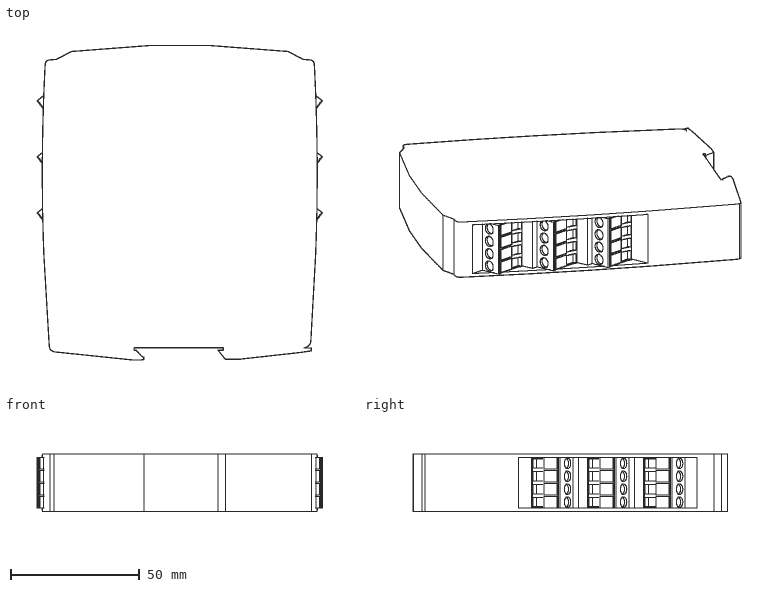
import cadquery as cq
import math

housing_height = 22.5
top_y = 61.0
bottom_y = -61.0
roof_edge = (11.6, top_y)
shoulder_high = (42.0, 58.7)
shoulder_low = (47.8, 55.6)
corner_start = (50.7, 55.4)
corner_middle = (51.7, 54.8)
corner_end = (52.2, 53.4)
bow_top = (52.3, 51.2)
bow_middle = (53.3, 15.2)
bow_bottom = (52.7, -20.5)

slot_y = -56.2
slot_left = -17.7
slot_right = 16.8
ledge_y = -57.1
foot_right = 51.0
foot_bottom_y = -60.7

module_count = 3
module_pitch = 21.7
tilt = 38.0
tip_x = 55.32
first_tip_y = 39.5
face_length = 14.4
block_depth = 8.2
window_height = 19.8
lead_in = 6.1
cut_reach = 18.3

pole_count = 4
pole_pitch = 5.0
screw_diameter = 4.0
screw_depth = 1.1
screw_setback = 4.6
front_rim = 1.0
step_depth = 0.2
button_start = 1.6
button_end = 8.0
button_height = 4.4
wedge_width = 19.2
wedge_end = 12.9
wedge_rise = 1.2
pocket_start = 8.8
pocket_floor_end = 12.0
pocket_rim_end = 12.7
pocket_height = 3.5

tooth_length = module_pitch * math.cos(math.radians(tilt))
pole_heights = [(i - (pole_count - 1) / 2) * pole_pitch for i in range(pole_count)]


def slab(points, height, z=0.0):
    """Closed XY outline extruded to the given height, centred on z."""
    return cq.Workplane("XY").polyline(points).close().extrude(height / 2, both=True).translate((0, 0, z))


def block(x0, x1, y0, y1, height, z=0.0):
    """Rectangular slab between the given limits."""
    return slab([(x0, y0), (x1, y0), (x1, y1), (x0, y1)], height, z)


def left(point):
    """The same outline point on the left side."""
    return (-point[0], point[1])


def housing():
    """Outer housing with the hooks and the slot for the mounting rail."""
    outline = cq.Workplane("XY").moveTo(*left(roof_edge))

    outline = outline.lineTo(*roof_edge).lineTo(*shoulder_high).lineTo(*shoulder_low)
    outline = outline.lineTo(*corner_start).threePointArc(corner_middle, corner_end)
    outline = outline.lineTo(*bow_top).threePointArc(bow_middle, bow_bottom)

    outline = outline.lineTo(50.9, -53.3).threePointArc((50.3, -55.1), (48.0, slot_y))
    outline = outline.lineTo(foot_right, slot_y).lineTo(foot_right, -57.5)
    outline = outline.lineTo(46.8, -58.1).lineTo(22.7, foot_bottom_y)

    outline = outline.lineTo(17.7, foot_bottom_y).lineTo(14.8, ledge_y)
    outline = outline.lineTo(slot_right, ledge_y).lineTo(slot_right, slot_y)
    outline = outline.lineTo(slot_left, slot_y).lineTo(slot_left, ledge_y)
    outline = outline.lineTo(-17.0, ledge_y).lineTo(-14.5, -59.6).lineTo(-13.9, -59.8)
    outline = outline.lineTo(-13.9, -60.7).lineTo(-14.9, bottom_y).lineTo(-18.2, bottom_y)

    outline = outline.lineTo(-48.8, -57.8).lineTo(-50.3, -57.0).lineTo(-50.6, -55.6)
    outline = outline.lineTo(*left(bow_bottom)).threePointArc(left(bow_middle), left(bow_top))
    outline = outline.lineTo(*left(corner_end)).threePointArc(left(corner_middle), left(corner_start))
    outline = outline.lineTo(*left(shoulder_low)).lineTo(*left(shoulder_high)).close()
    return outline.extrude(housing_height / 2, both=True)


def terminal_block():
    """One terminal block with its tip at the origin."""
    body = block(0, face_length, 0, block_depth, window_height)
    body = body.cut(block(front_rim, face_length, 0, step_depth, window_height))

    wedge_top = step_depth - wedge_rise
    wedge = [(pocket_start, step_depth), (wedge_end, wedge_top), (wedge_end, step_depth)]
    body = body.union(slab(wedge, wedge_width))

    pocket = [
        (pocket_start, step_depth),
        (pocket_floor_end, step_depth),
        (pocket_rim_end, wedge_top),
        (pocket_start, wedge_top),
    ]
    for z in pole_heights:
        body = body.union(block(button_start, button_end, 0, step_depth, button_height, z))
        body = body.cut(slab(pocket, pocket_height, z))
        screw = cq.Workplane("YZ").center(screw_setback, z).circle(screw_diameter / 2).extrude(screw_depth)
        body = body.cut(screw)
    return body


def recess(index):
    """Cutter for one tooth of the saw-toothed recess around the blocks."""
    start = -lead_in if index == 0 else face_length - tooth_length
    return block(start, face_length, -cut_reach, block_depth, window_height)


def place(shape, index):
    """Turn a shape from the block frame and move it to its place on the left side wall."""
    turned = shape.rotate((0, 0, 0), (0, 0, 1), tilt - 90)
    return turned.translate((-tip_x, first_tip_y - index * module_pitch, 0))


result = housing()
for index in range(module_count):
    cutter = place(recess(index), index)
    result = result.cut(cutter).cut(cutter.mirror("YZ"))

terminal = terminal_block()
for index in range(module_count):
    placed = place(terminal, index)
    result = result.union(placed).union(placed.mirror("YZ"))